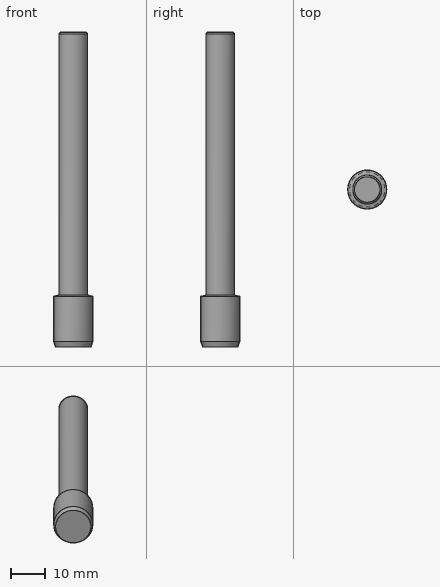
import cadquery as cq

total_length = 90.0
head_diameter = 11.2
rod_diameter = 8.3

head_length = 14.85
foot_taper_height = 1.5
foot_taper_inset = 0.5
shoulder_rise = 0.4

tip_chamfer = 0.495

head_radius = head_diameter / 2
rod_radius = rod_diameter / 2


def make_head():
    """Round head, tapered at its foot, with a shallow conical shoulder up to the rod."""
    return (
        cq.Workplane("XZ")
        .moveTo(0, 0)
        .lineTo(head_radius - foot_taper_inset, 0)
        .lineTo(head_radius, foot_taper_height)
        .lineTo(head_radius, head_length - shoulder_rise)
        .lineTo(rod_radius, head_length)
        .lineTo(0, head_length)
        .close()
        .revolve(360, (0, 0), (0, 1))
    )


def make_rod():
    """Plain rod standing on the flat top of the head, chamfered at its free end."""
    return (
        cq.Workplane("XZ")
        .moveTo(0, head_length)
        .lineTo(rod_radius, head_length)
        .lineTo(rod_radius, total_length - tip_chamfer)
        .lineTo(rod_radius - tip_chamfer, total_length)
        .lineTo(0, total_length)
        .close()
        .revolve(360, (0, 0), (0, 1))
    )


head = make_head()
rod = make_rod()

result = cq.Compound.makeCompound([head.val(), rod.val()])